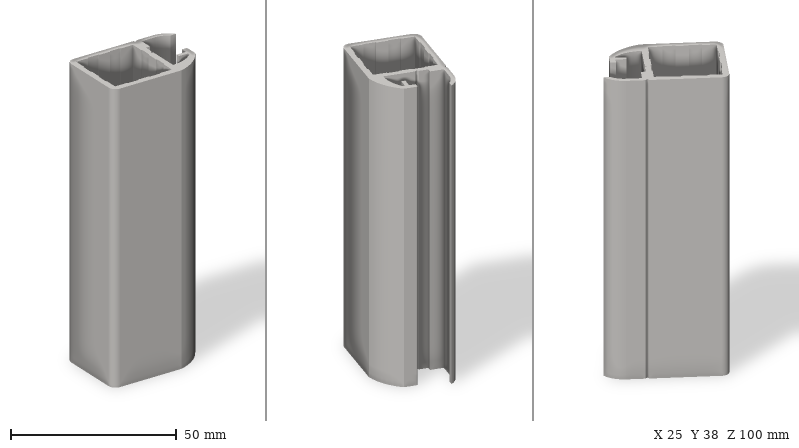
import cadquery as cq
import math

length = 100.0
width = 25.0
wall = 2.1
corner_radius = 2.5
floor_y = 25.0

relief_width = 4.0
relief_depth = 0.3
relief_offset = 4.0

overall_height = 38.0
arm_wall = 1.5
arm_bend_y = 31.5
arm_tip_x = 3.1
shelf_y = 26.5
shelf_end_x = 5.9

vee_half_width = 0.6
vee_depth = 0.7
floor_vee_x = 9.5

lip_x = 13.0
lip_top_y = 35.2
lip_bottom_y = 33.4
lip_top_end_x = 17.4
lip_radius = 0.4
stem_left_x = 15.1
stem_right_x = 16.4
stem_tip_y = 30.0
stem_root_radius = 0.5
hook_outer_mid = (21.8, 31.3)
hook_inner_start = (20.4, floor_y)
hook_inner_mid = (19.3, 30.1)
hook_inner_end = (17.0, lip_bottom_y)

bend_radius = (arm_tip_x**2 + (overall_height - arm_bend_y)**2) / (2 * arm_tip_x)
inner_bend_radius = bend_radius - arm_wall


def bend_point(radius, x):
    """Point at the given x on an arc around the arm's bend centre."""
    return x, arm_bend_y + math.sqrt(radius**2 - (bend_radius - x)**2)


def extrude_outline():
    """Solid tube with the left arm and right hook above it."""
    outline = (
        cq.Workplane("XY")
        .moveTo(0, 0)
        .lineTo(width, 0)
        .lineTo(width, floor_y)
        .threePointArc(hook_outer_mid, (lip_top_end_x, lip_top_y))
        .lineTo(lip_x + lip_radius, lip_top_y)
        .radiusArc((lip_x, lip_top_y - lip_radius), -lip_radius)
        .lineTo(lip_x, lip_bottom_y)
        .lineTo(stem_left_x, lip_bottom_y)
        .lineTo(stem_left_x, stem_tip_y)
        .lineTo(stem_right_x, stem_tip_y)
        .lineTo(stem_right_x, lip_bottom_y - stem_root_radius)
        .radiusArc(hook_inner_end, stem_root_radius)
        .threePointArc(hook_inner_mid, hook_inner_start)
        .lineTo(shelf_end_x, floor_y)
        .lineTo(shelf_end_x, shelf_y)
        .lineTo(arm_wall, shelf_y)
        .lineTo(arm_wall, arm_bend_y)
        .threePointArc(
            bend_point(inner_bend_radius, (arm_wall + arm_tip_x) / 2),
            bend_point(inner_bend_radius, arm_tip_x),
        )
        .lineTo(arm_tip_x, overall_height)
        .threePointArc(bend_point(bend_radius, arm_tip_x / 2), (0, arm_bend_y))
        .close()
    )
    return outline.extrude(length)


def round_tube_corners(body):
    """Round the two lower outside corners."""
    for x in (0, width):
        corner = cq.selectors.NearestToPointSelector((x, 0, length / 2))
        body = body.edges(corner).fillet(corner_radius)
    return body


def tube_bore():
    """Square bore with a pair of relief grooves on every wall."""
    bore_size = width - 2 * wall
    grooved_size = bore_size + 2 * relief_depth
    centred = cq.Workplane("XY").center(width / 2, width / 2)
    bore = centred.rect(bore_size, bore_size).extrude(length)
    for offset in (-relief_offset, relief_offset):
        bore = bore.union(centred.center(offset, 0).rect(relief_width, grooved_size).extrude(length))
        bore = bore.union(centred.center(0, offset).rect(grooved_size, relief_width).extrude(length))
    return bore


def vee_groove(x, y, angle):
    """V-groove cutter at (x, y), pointing along the given angle in degrees."""
    profile = [(0, -vee_half_width), (vee_depth, 0), (0, vee_half_width)]
    cutter = cq.Workplane("XY").polyline(profile).close().extrude(length)
    return cutter.rotate((0, 0, 0), (0, 0, 1), angle).translate((x, y, 0))


result = (
    round_tube_corners(extrude_outline())
    .cut(tube_bore())
    .cut(vee_groove(0, floor_y, 0))
    .cut(vee_groove(floor_vee_x, floor_y, -90))
)